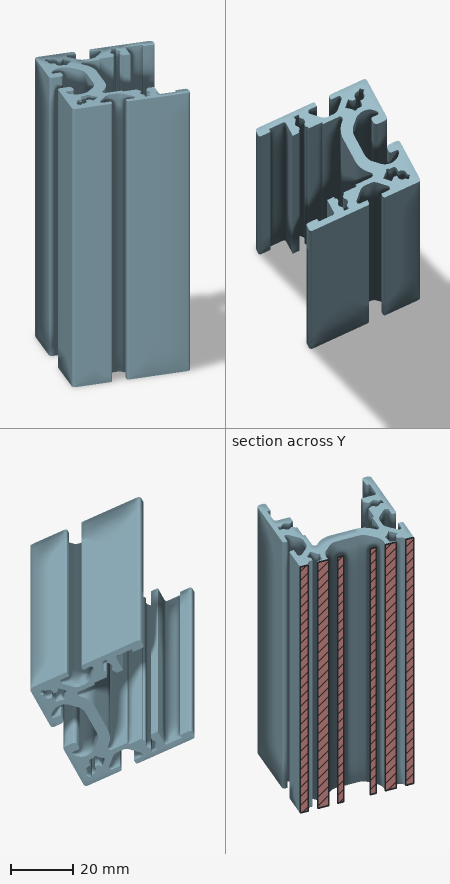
import cadquery as cq
import math


width = 40.0
depth = 40.0
length = 100.0
half_width = width / 2

edge_radius = 1.0
lip_wall = 1.7
lip_inner_x = half_width - lip_wall

arm_wall = 2.0
arm_inner_x = half_width - arm_wall
rim_thickness = 3.1
rim_height = 4.1
rim_radius = 0.8
rim_inner_x = half_width - rim_thickness
rim_bottom_y = depth - rim_height
ledge_y = 30.1
ledge_inner_x = 12.5
ledge_corner_radius = 0.7

screw_slot_y = 26.0
mouth_half = 1.7
mouth_end_x = 13.1
mouth_radius = 0.4
waist_half = 1.0
waist_start_x = 13.5
waist_end_x = 14.4
waist_radius = 0.6
bulge_half = 2.1
bulge_x = 15.6
bulge_radius = 1.1
throat_half = 0.7
throat_x = 17.1
slot_end_half = 0.9

step_y = 19.5
lower_inner_x = 11.8
valley_radius = 0.9

crown_y = 16.0
crown_corner_x = 7.5
crown_radius = 7.6
valley_y = crown_y - (lower_inner_x - crown_corner_x)

base_slot_half = 4.0
base_lip_width = 2.9
base_lip_height = 4.8
base_lip_inner_radius = 0.6
base_lip_outer_radius = 1.3
base_slot_x = base_slot_half + base_lip_width
chamber_half = 10.1
chamber_roof_y = 12.3
chamber_roof_x = 5.6
chamber_radius = 4.5
chamber_side_top_y = chamber_roof_y - (chamber_half - chamber_roof_x)
chamber_side_bottom_y = 3.2
chamber_floor_radius = 0.6
chamber_floor_slope = math.tan(math.radians(30))
chamber_floor_y = chamber_side_bottom_y - (chamber_half - base_slot_x) * chamber_floor_slope

side_slot_y = 16.0
side_slot_half = 2.5
side_chamber_x = 13.4
side_chamber_half = 5.9
side_diagonal_x = 11.2
side_chamber_radius = 3.0
side_lip_radius = 0.7
side_corner_radius = 0.8

channel_start = 4.0
channel_half = 0.8
channel_neck_end = 8.2
channel_hole_distance = 6.5
channel_hole_radius = 1.6
hollow_start = 8.9
hollow_mouth = 8.0
hollow_mouth_half = 1.6
hollow_mouth_radius = 0.3
hollow_end = 11.9
hollow_side = 3.1
hollow_nose = [(11.7, 0.4), (12.0, 0), (11.6, -0.6), (11.0, -0.7), (9.7, -1.9)]


def rounded_outline(corners):
    """Closed outline with a tangent arc at each corner that has a radius."""
    stretches = []
    for i, (x, y, *radius) in enumerate(corners):
        if not radius:
            stretches.append([(x, y)])
            continue
        corner = cq.Vector(x, y)
        to_last = (cq.Vector(*corners[i - 1][:2]) - corner).normalized()
        to_next = (cq.Vector(*corners[(i + 1) % len(corners)][:2]) - corner).normalized()
        half_angle = to_last.getAngle(to_next) / 2
        tangent = radius[0] / math.tan(half_angle)
        to_middle = radius[0] / math.sin(half_angle) - radius[0]
        start = corner + to_last * tangent
        middle = corner + (to_last + to_next).normalized() * to_middle
        end = corner + to_next * tangent
        stretches.append([(p.x, p.y) for p in (start, middle, end)])

    outline = cq.Workplane("XY").moveTo(*stretches[0][-1])
    for stretch in stretches[1:] + stretches[:1]:
        outline = outline.lineTo(*stretch[0])
        if len(stretch) == 3:
            outline = outline.threePointArc(*stretch[1:])
    return outline.close()


def both_sides(corners, center_y):
    """Corners given as heights above center_y, followed by their mirror image below it."""
    upper = [(x, center_y + h, *r) for x, h, *r in corners]
    lower = [(x, center_y - h, *r) for x, h, *r in reversed(corners)]
    return upper + lower


screw_slot = both_sides(
    [
        (ledge_inner_x, mouth_half),
        (mouth_end_x, mouth_half, mouth_radius),
        (waist_start_x, waist_half, waist_radius),
        (waist_end_x, waist_half, waist_radius),
        (bulge_x, bulge_half, bulge_radius),
        (throat_x, throat_half),
        (lip_inner_x, slot_end_half),
    ],
    screw_slot_y,
)

side_slot = both_sides(
    [
        (half_width, side_slot_half, side_lip_radius),
        (lip_inner_x, side_slot_half),
        (lip_inner_x, side_chamber_half, side_corner_radius),
        (side_diagonal_x + side_chamber_half, side_chamber_half, side_corner_radius),
        (side_chamber_x, side_chamber_x - side_diagonal_x, side_chamber_radius),
    ],
    side_slot_y,
)

arm_top = [
    (half_width, depth, edge_radius),
    (rim_inner_x, depth, rim_radius),
    (rim_inner_x, rim_bottom_y),
    (arm_inner_x, rim_bottom_y),
    (arm_inner_x, ledge_y, ledge_corner_radius),
    (ledge_inner_x, ledge_y),
]

bridge_top = [
    (ledge_inner_x, step_y),
    (lower_inner_x, step_y),
    (lower_inner_x, valley_y, valley_radius),
    (crown_corner_x, crown_y, crown_radius),
    (0, crown_y),
]

base_slot = [
    (0, chamber_roof_y),
    (chamber_roof_x, chamber_roof_y, chamber_radius),
    (chamber_half, chamber_side_top_y, chamber_radius),
    (chamber_half, chamber_side_bottom_y, chamber_radius),
    (base_slot_x, chamber_floor_y, chamber_floor_radius),
    (base_slot_x, base_lip_height, base_lip_inner_radius),
    (base_slot_half, base_lip_height, base_lip_outer_radius),
    (base_slot_half, 0, edge_radius),
]

half_outline = (
    [(half_width, 0, edge_radius)]
    + list(reversed(side_slot))
    + arm_top
    + screw_slot
    + bridge_top
    + base_slot
)


def corner_channel():
    """Round screw hole with a relief and a neck leading into an irregular hollow."""
    neck_length = channel_neck_end - channel_start
    neck = (
        cq.Workplane("XY")
        .center(channel_start + neck_length / 2, 0)
        .rect(neck_length, 2 * channel_half)
        .extrude(length)
    )
    hole = (
        cq.Workplane("XY")
        .center(channel_hole_distance, 0)
        .circle(channel_hole_radius)
        .extrude(length)
    )
    hollow = rounded_outline(
        [
            (hollow_mouth, channel_half),
            (hollow_start, hollow_mouth_half, hollow_mouth_radius),
            (hollow_start, hollow_side),
            (hollow_end, hollow_side),
            *hollow_nose,
            (hollow_start, -hollow_mouth_half),
            (hollow_mouth, -channel_half),
        ]
    ).extrude(length)
    channel = neck.union(hole).union(hollow)
    return channel.mirror("XZ").rotate((0, 0, 0), (0, 0, 1), 135).translate((half_width, 0, 0))


half_profile = rounded_outline(half_outline).extrude(length).cut(corner_channel())
profile = half_profile.union(half_profile.mirror("YZ"))
result = profile.translate((0, -depth / 2, 0))